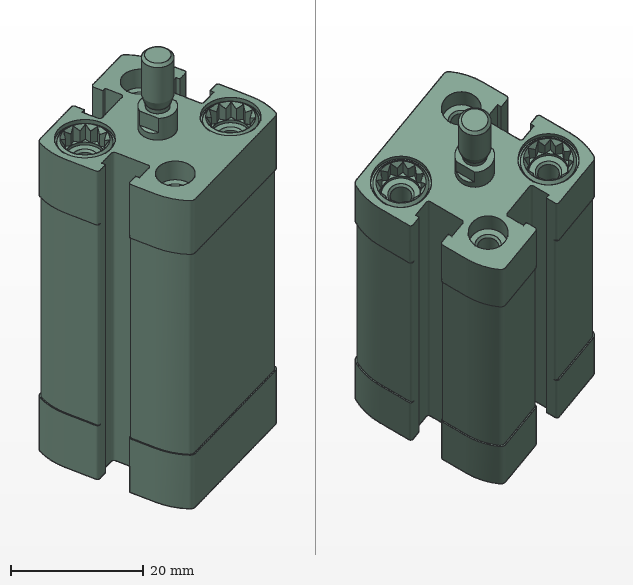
import cadquery as cq
import math

width = 27.5
half_width = width / 2
housing_height = 60.0
cap_height = 10.45
tube_inset = 0.2
crown_radius = 11.1
corner_fillet = 1.0

slot_opening = 5.35
slot_inner_width = 6.7
slot_lip = 2.1
slot_depth = 5.35
slot_offset = 0.56
lip_fillet = 0.45
slot_corner_fillet = 0.45

hole_offset = 8.0
through_diameter = 3.3
countersink_diameter = 4.0
counterbore_diameter = 6.0
counterbore_depth = 3.6

socket_diameter = 9.2
ring_diameter = 8.5
ring_rim_diameter = 7.6
ring_rim_drop = 0.1
groove_depth = 0.75
tooth_count = 12
tooth_root_radius = 3.7
tooth_crest_radius = 3.05
lead_in_depth = 0.9
tooth_depth = 3.1

collar_diameter = 6.0
collar_top = 64.25
flat_distance = 5.0
flat_bottom = 61.5
ledge_angle = 30.0
neck_diameter = 3.8
neck_top = 65.0
taper_bottom = 65.3
taper_small_diameter = 4.15
stud_diameter = 5.0
stud_bottom = 66.7
stud_tip_diameter = 4.0
rod_top = 74.2


def crowned_block(inset, height):
    """Prism with flat X sides and arc-ended Y sides, drawn in by `inset` all round."""
    edge = half_width - inset
    radius = crown_radius - inset
    arc_width = edge - hole_offset
    corner_y = edge - radius + math.sqrt(radius**2 - arc_width**2)
    middle_angle = math.asin(arc_width / radius) / 2
    middle_x = hole_offset + radius * math.sin(middle_angle)
    middle_y = edge - radius + radius * math.cos(middle_angle)
    outline = (
        cq.Workplane("XY")
        .moveTo(edge, -corner_y)
        .lineTo(edge, corner_y)
        .threePointArc((middle_x, middle_y), (hole_offset, edge))
        .lineTo(-hole_offset, edge)
        .threePointArc((-middle_x, middle_y), (-edge, corner_y))
        .lineTo(-edge, -corner_y)
        .threePointArc((-middle_x, -middle_y), (-hole_offset, -edge))
        .lineTo(hole_offset, -edge)
        .threePointArc((middle_x, -middle_y), (edge, -corner_y))
        .close()
    )
    return outline.extrude(height).edges("|Z").edges("<X or >X").fillet(corner_fillet)


def t_slot(inset, height, turn, shift):
    """Slot cutter for the +Y face with rounded lips, shifted in X, then turned about Z."""
    face = half_width - inset
    half_opening = slot_opening / 2
    half_inner = slot_inner_width / 2
    lip_bottom = half_width - slot_lip
    slot_bottom = half_width - slot_depth
    round_shift = lip_fillet * (1 - math.sqrt(0.5))
    cutter = (
        cq.Workplane("XY")
        .moveTo(-half_opening - lip_fillet, face)
        .threePointArc((-half_opening - round_shift, face - round_shift), (-half_opening, face - lip_fillet))
        .lineTo(-half_opening, lip_bottom)
        .lineTo(-half_inner, lip_bottom)
        .lineTo(-half_inner, slot_bottom)
        .lineTo(half_inner, slot_bottom)
        .lineTo(half_inner, lip_bottom)
        .lineTo(half_opening, lip_bottom)
        .lineTo(half_opening, face - lip_fillet)
        .threePointArc((half_opening + round_shift, face - round_shift), (half_opening + lip_fillet, face))
        .close()
        .extrude(height)
        .edges("|Z and <Y")
        .fillet(slot_corner_fillet)
    )
    return cutter.translate((shift, 0, 0)).rotate((0, 0, 0), (0, 0, 1), turn)


def slotted_section(inset, bottom, height):
    section = crowned_block(inset, height)
    for turn, shift in ((0, -slot_offset), (90, slot_offset), (180, -slot_offset)):
        section = section.cut(t_slot(inset, height, turn, shift))
    return section.translate((0, 0, bottom))


def screw_hole():
    """Cutter for a counterbored through hole with a small countersink, top at the housing top."""
    floor = housing_height - counterbore_depth
    countersink_depth = (countersink_diameter - through_diameter) / 2
    return (
        cq.Workplane("XZ")
        .moveTo(0, 0)
        .lineTo(through_diameter / 2, 0)
        .lineTo(through_diameter / 2, floor - countersink_depth)
        .lineTo(countersink_diameter / 2, floor)
        .lineTo(counterbore_diameter / 2, floor)
        .lineTo(counterbore_diameter / 2, housing_height)
        .lineTo(0, housing_height)
        .close()
        .revolve(360, (0, 0), (0, 1))
    )


def toothed_socket():
    """Cutter that leaves a ring with chamfered rim and twelve inward teeth inside a round recess."""
    rim_radius = ring_rim_diameter / 2
    ring_radius = ring_diameter / 2
    rim = housing_height - ring_rim_drop
    lead_in_bottom = housing_height - lead_in_depth
    recess = (
        cq.Workplane("XZ")
        .moveTo(0, housing_height)
        .lineTo(socket_diameter / 2, housing_height)
        .lineTo(socket_diameter / 2, housing_height - groove_depth)
        .lineTo(ring_radius, housing_height - groove_depth)
        .lineTo(ring_radius, rim - (ring_radius - rim_radius))
        .lineTo(rim_radius, rim)
        .lineTo(tooth_crest_radius, lead_in_bottom)
        .lineTo(0, lead_in_bottom)
        .close()
        .revolve(360, (0, 0), (0, 1))
    )
    half_pitch = math.pi / tooth_count
    star = []
    for i in range(tooth_count):
        root_angle = 2 * i * half_pitch
        crest_angle = root_angle + half_pitch
        star.append((tooth_root_radius * math.cos(root_angle), tooth_root_radius * math.sin(root_angle)))
        star.append((tooth_crest_radius * math.cos(crest_angle), tooth_crest_radius * math.sin(crest_angle)))
    teeth = (
        cq.Workplane("XY")
        .workplane(offset=housing_height - tooth_depth)
        .polyline(star)
        .close()
        .extrude(tooth_depth - ring_rim_drop)
    )
    return recess.union(teeth)


def make_housing():
    tube_height = housing_height - 2 * cap_height
    housing = slotted_section(0, 0, cap_height)
    housing = housing.union(slotted_section(tube_inset, cap_height, tube_height))
    housing = housing.union(slotted_section(0, housing_height - cap_height, cap_height))
    for side_x in (-1, 1):
        for side_y in (-1, 1):
            place = (side_x * hole_offset, side_y * hole_offset, 0)
            housing = housing.cut(screw_hole().translate(place))
            if side_x == side_y:
                housing = housing.cut(toothed_socket().translate(place))
    return housing


def make_rod():
    tip_chamfer = (stud_diameter - stud_tip_diameter) / 2
    rod = (
        cq.Workplane("XZ")
        .moveTo(0, housing_height)
        .lineTo(collar_diameter / 2, housing_height)
        .lineTo(collar_diameter / 2, collar_top)
        .lineTo(neck_diameter / 2, collar_top)
        .lineTo(neck_diameter / 2, neck_top)
        .lineTo(taper_small_diameter / 2, taper_bottom)
        .lineTo(stud_diameter / 2, stud_bottom)
        .lineTo(stud_diameter / 2, rod_top - tip_chamfer)
        .lineTo(stud_tip_diameter / 2, rod_top)
        .lineTo(0, rod_top)
        .close()
        .revolve(360, (0, 0), (0, 1))
    )
    flat_y = flat_distance / 2
    outer_y = collar_diameter / 2
    ledge_drop = (outer_y - flat_y) * math.tan(math.radians(ledge_angle))
    flat_cut = (
        cq.Workplane("YZ")
        .moveTo(flat_y, collar_top)
        .lineTo(flat_y, flat_bottom)
        .lineTo(outer_y, flat_bottom - ledge_drop)
        .lineTo(outer_y, collar_top)
        .close()
        .extrude(outer_y, both=True)
    )
    return rod.cut(flat_cut).cut(flat_cut.mirror("XZ"))


housing = make_housing()
rod = make_rod()
result = cq.Compound.makeCompound([housing.val(), rod.val()])